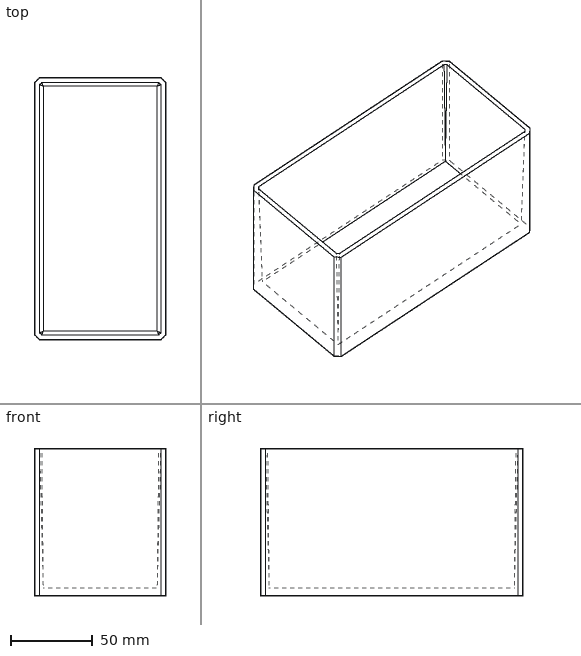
import cadquery as cq
import math

width = 80.0
length = 160.0
height = 90.0
corner_chamfer = 3.0

wall = 3.0
floor_thickness = 5.0
floor_inset = 2.2

cavity_width = width - 2 * wall
cavity_length = length - 2 * wall
cavity_depth = height - floor_thickness
draft_angle = math.degrees(math.atan2(floor_inset, cavity_depth))

outer_half_diagonal = (width + length) / 2 - corner_chamfer
facet_spacing = math.sqrt(2) * outer_half_diagonal - 2 * wall


def drafted_block(size_x, size_y, turn=0.0):
    """Block hanging from the rim plane, narrowing downward, turned about Z."""
    return (
        cq.Workplane("XY")
        .rect(size_x, size_y)
        .extrude(-cavity_depth, taper=draft_angle)
        .rotate((0, 0, 0), (0, 0, 1), turn)
        .translate((0, 0, height))
    )


def outer_box():
    box = cq.Workplane("XY").box(width, length, height, centered=(True, True, False))
    return box.edges("|Z").chamfer(corner_chamfer)


def cavity():
    """Drafted rectangle with corners cut by a drafted square turned 45 degrees.

    The corner facets taper away before they reach the floor.
    """
    sides = drafted_block(cavity_width, cavity_length)
    corner_facets = drafted_block(facet_spacing, facet_spacing, turn=45)
    return sides.intersect(corner_facets)


result = outer_box().cut(cavity())